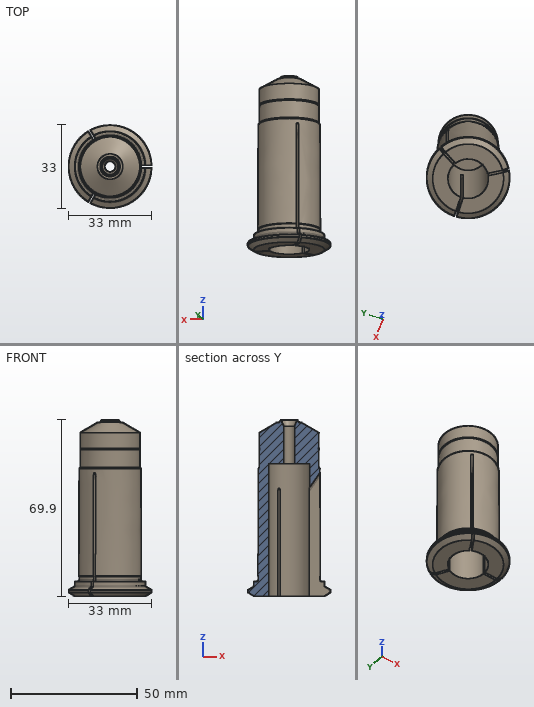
import cadquery as cq
import math

height = 69.9
flange_radius = 16.5

hole_radius = 4.1 / 2
nose_tip_radius = 3.35
nose_base_radius = 8.0 / 2
nose_base_z = 68.85
nose_step = 0.2
cone_top_radius = 5.0
cap_radius = 23.8 / 2
cap_edge_z = 64.9
mouth_radius = 3.15
mouth_depth = 2.45

groove_top_z = 58.6
groove_floor_z = 58.4
groove_bottom_z = 58.0
groove_floor_radius = 11.75

shoulder_top_z = 51.2
shoulder_bottom_z = 50.55
sleeve_radius = 12.3
neck_radius = 12.3
flare_radius = 12.45
flare_end_z = 8.1
neck_top_z = 7.8

neck_fillet = 0.8
collar_radius = 14.05
collar_top_z = 5.95
collar_chamfer = 0.2
collar_bottom_z = 4.25
collar_fillet_end_radius = 14.25
collar_fillet_end_z = 3.85
rim_top_z = 2.65
rim_bottom_z = 1.5
rim_edge_inset = 0.15
rim_edge_height = 0.2

bore_radius = 16.0 / 2
bore_top_z = 52.4

slot_count = 3
slot_width = 1.0
slot_top_z = 48.85
slot_end_angle = 55


def make_body():
    """Revolved outer shape, solid."""
    neck_fillet_inset = neck_fillet * (1 - math.sqrt(0.5))
    upper_points = [
        (neck_radius, neck_top_z),
        (flare_radius, flare_end_z),
        (sleeve_radius, shoulder_bottom_z),
        (cap_radius, shoulder_top_z),
        (cap_radius, groove_bottom_z),
        (groove_floor_radius, groove_floor_z),
        (groove_floor_radius, groove_top_z),
        (cap_radius, groove_top_z),
        (cap_radius, cap_edge_z),
        (cone_top_radius, nose_base_z),
        (nose_base_radius, nose_base_z),
        (nose_base_radius, nose_base_z + nose_step),
        (nose_tip_radius, height),
        (0, height),
    ]
    outline = (
        cq.Workplane("XZ")
        .lineTo(collar_radius, 0)
        .lineTo(flange_radius - rim_edge_inset, rim_bottom_z)
        .lineTo(flange_radius, rim_bottom_z + rim_edge_height)
        .lineTo(flange_radius, rim_top_z - rim_edge_height)
        .lineTo(flange_radius - rim_edge_inset, rim_top_z)
        .lineTo(collar_fillet_end_radius, collar_fillet_end_z)
        .tangentArcPoint((collar_radius, collar_bottom_z), relative=False)
        .lineTo(collar_radius, collar_top_z - collar_chamfer)
        .lineTo(collar_radius - collar_chamfer, collar_top_z)
        .lineTo(neck_radius + neck_fillet, collar_top_z)
        .threePointArc(
            (neck_radius + neck_fillet_inset, collar_top_z + neck_fillet_inset),
            (neck_radius, collar_top_z + neck_fillet),
        )
    )
    for point in upper_points:
        outline = outline.lineTo(*point)
    return outline.close().revolve(360, (0, 0), (0, 1))


def make_interior():
    """Wide bore from below, narrow hole and tapered mouth at the nose."""
    outline = [
        (0, 0),
        (bore_radius, 0),
        (bore_radius, bore_top_z),
        (hole_radius, bore_top_z),
        (hole_radius, height - mouth_depth),
        (mouth_radius, height),
        (0, height),
    ]
    return cq.Workplane("XZ").polyline(outline).close().revolve(360, (0, 0), (0, 1))


def make_slot():
    """Slot toward +X with a rounded, sloping upper end."""
    slope = math.radians(slot_end_angle)
    half_width = slot_width / 2
    outer_x = flange_radius + 0.7
    axis_z_at_sleeve = slot_top_z - half_width / math.cos(slope)
    axis_outer_z = axis_z_at_sleeve + (outer_x - sleeve_radius) * math.tan(slope)
    axis_inner_z = axis_z_at_sleeve - sleeve_radius * math.tan(slope)
    blade = (
        cq.Workplane("XZ")
        .polyline([(0, 0), (outer_x, 0), (outer_x, axis_outer_z), (0, axis_inner_z)])
        .close()
        .extrude(half_width, both=True)
    )
    rounded_end = cq.Workplane(
        cq.Solid.makeCylinder(
            half_width,
            outer_x / math.cos(slope),
            cq.Vector(0, 0, axis_inner_z),
            cq.Vector(math.cos(slope), 0, math.sin(slope)),
        )
    )
    return blade.union(rounded_end)


result = make_body().cut(make_interior())
for index in range(slot_count):
    angle = index * 360 / slot_count
    result = result.cut(make_slot().rotate((0, 0, 0), (0, 0, 1), angle))